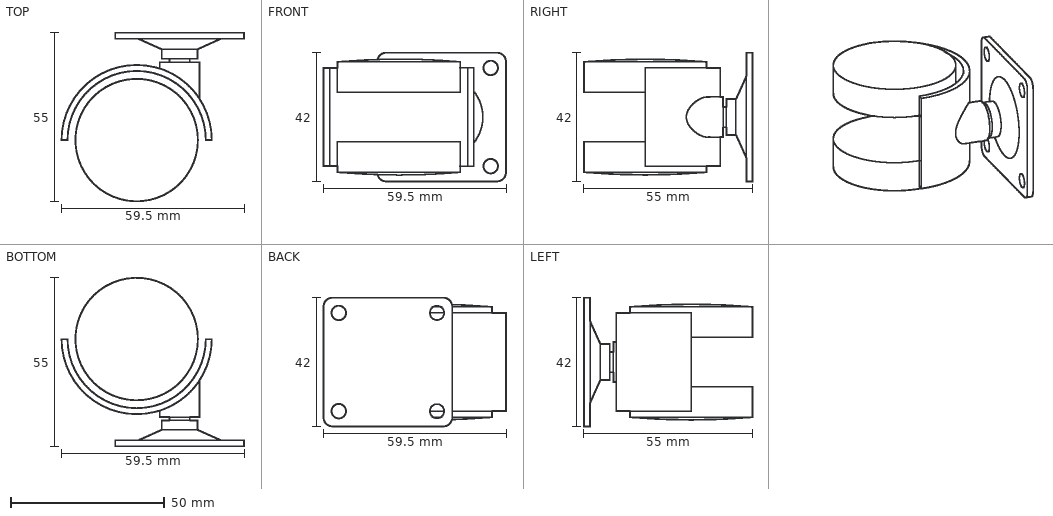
import cadquery as cq


wheel_radius = 20.0
wheel_width = 10.0
wheel_gap = 16.0
dome_height = 0.9

fork_outer_radius = 24.5
fork_wall = 2.0
fork_width = 32.0
fork_inner_radius = fork_outer_radius - fork_wall
sleeve_radius = 6.55
sleeve_top = 25.4

plate_size = 42.0
plate_thickness = 2.0
plate_corner_radius = 3.0
plate_top = 35.0
plate_underside = plate_top - plate_thickness
hole_diameter = 4.65
hole_spacing = 32.0
cone_radius = 13.45
cone_height = 3.4
collar_radius = 5.9
collar_length = 3.1
neck_radius = 3.35

overall_length = 59.5
swivel_x = overall_length - fork_outer_radius - plate_size / 2


def make_wheel(side):
    """Wheel with a flat inner face and a domed outer face; side is +1 or -1 along Z."""
    inner_face = side * wheel_gap / 2
    rim = inner_face + side * wheel_width
    dome_top = rim + side * dome_height
    sphere_radius = (wheel_radius**2 + dome_height**2) / (2 * dome_height)
    mid_radius = wheel_radius / 2
    mid_drop = sphere_radius - (sphere_radius**2 - mid_radius**2) ** 0.5
    return (
        cq.Workplane("XZ")
        .moveTo(0, inner_face)
        .lineTo(wheel_radius, inner_face)
        .lineTo(wheel_radius, rim)
        .threePointArc((mid_radius, dome_top - side * mid_drop), (0, dome_top))
        .close()
        .revolve(360, (0, 0, 0), (0, 1, 0))
    )


def make_fork():
    """Half-round shell on the +Y side, joined to the swivel sleeve."""
    shell = (
        cq.Workplane("XY")
        .moveTo(-fork_outer_radius, 0)
        .threePointArc((0, fork_outer_radius), (fork_outer_radius, 0))
        .lineTo(fork_inner_radius, 0)
        .threePointArc((0, fork_inner_radius), (-fork_inner_radius, 0))
        .close()
        .extrude(fork_width / 2, both=True)
    )
    sleeve = (
        cq.Workplane("XZ")
        .center(swivel_x, 0)
        .circle(sleeve_radius)
        .extrude(-sleeve_top)
    )
    shell_mid_radius = fork_outer_radius - fork_wall / 2
    clearance = cq.Workplane("XY").circle(shell_mid_radius).extrude(fork_width / 2, both=True)
    return shell.union(sleeve.cut(clearance))


def make_mounting_plate():
    """Square plate with four screw holes and a stepped swivel boss below it."""
    plate = (
        cq.Workplane("XZ", origin=(swivel_x, plate_underside, 0))
        .rect(plate_size, plate_size)
        .extrude(-plate_thickness)
        .edges("|Y")
        .fillet(plate_corner_radius)
    )
    holes = (
        cq.Workplane("XZ", origin=(swivel_x, plate_underside, 0))
        .rect(hole_spacing, hole_spacing, forConstruction=True)
        .vertices()
        .circle(hole_diameter / 2)
        .extrude(-plate_thickness)
    )
    collar_top = plate_underside - cone_height
    collar_bottom = collar_top - collar_length
    boss = (
        cq.Workplane("XY", origin=(swivel_x, 0, 0))
        .moveTo(0, plate_underside)
        .lineTo(cone_radius, plate_underside)
        .lineTo(collar_radius, collar_top)
        .lineTo(collar_radius, collar_bottom)
        .lineTo(neck_radius, collar_bottom)
        .lineTo(neck_radius, sleeve_top)
        .lineTo(0, sleeve_top)
        .close()
        .revolve(360, (0, 0, 0), (0, 1, 0))
    )
    return plate.cut(holes).union(boss)


mounting_plate = make_mounting_plate()
fork = make_fork()
wheels = [make_wheel(side) for side in (1, -1)]

result = cq.Compound.makeCompound(
    [mounting_plate.val(), fork.val(), *[wheel.val() for wheel in wheels]]
)